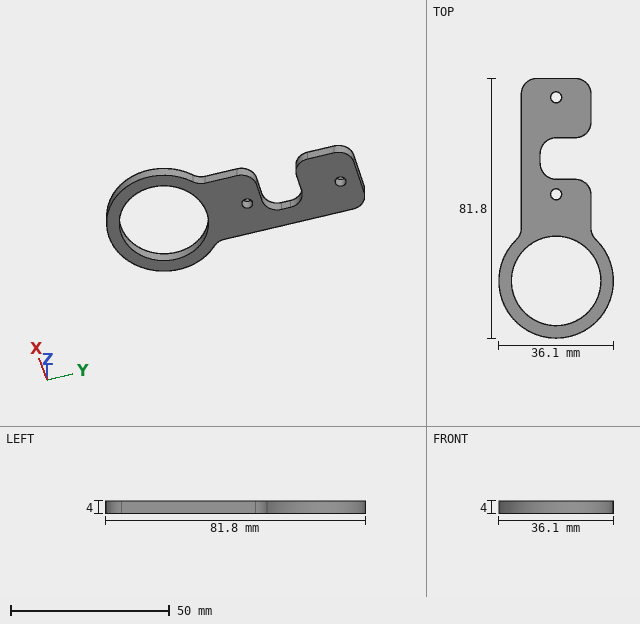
import cadquery as cq

thickness = 4.0
ring_bore = 28.1
ring_wall = 4.0
ring_diameter = ring_bore + 2 * ring_wall

overall_length = 81.8
arm_width = 22.0
arm_end_y = overall_length - ring_diameter / 2
corner_radius = 5.0

notch_floor_x = -5.0
notch_width = 13.0
notch_end_margin = 18.75
notch_far_y = arm_end_y - notch_end_margin
notch_near_y = notch_far_y - notch_width

hole_diameter = 3.4
hole_end_margin = 6.0
hole_spacing = 30.5


def make_arm():
    """Flat arm with a side notch, its vertical edges rounded."""
    half_width = arm_width / 2
    arm = (
        cq.Workplane("XY")
        .moveTo(-half_width, 0)
        .lineTo(half_width, 0)
        .lineTo(half_width, notch_near_y)
        .lineTo(notch_floor_x, notch_near_y)
        .lineTo(notch_floor_x, notch_far_y)
        .lineTo(half_width, notch_far_y)
        .lineTo(half_width, arm_end_y)
        .lineTo(-half_width, arm_end_y)
        .close()
        .extrude(thickness)
    )
    above_ring = cq.selectors.BoxSelector(
        (-arm_width, ring_diameter / 2, -thickness),
        (arm_width, overall_length, 2 * thickness),
    )
    return arm.edges("|Z").edges(above_ring).fillet(corner_radius)


def join_ring(arm):
    """Add the solid disc and round the two inner corners where the arm meets it."""
    disc = cq.Workplane("XY").circle(ring_diameter / 2).extrude(thickness)
    neck = cq.selectors.BoxSelector(
        (-arm_width, 0, -thickness),
        (arm_width, ring_diameter / 2, 2 * thickness),
    )
    return arm.union(disc).edges("|Z").edges(neck).fillet(corner_radius)


def cut_holes(body):
    """Cut the ring bore and both screw holes through the plate."""
    end_hole_y = arm_end_y - hole_end_margin
    hole_centres = [(0, end_hole_y), (0, end_hole_y - hole_spacing)]
    bore = cq.Workplane("XY").circle(ring_bore / 2).extrude(thickness)
    holes = cq.Workplane("XY").pushPoints(hole_centres).circle(hole_diameter / 2).extrude(thickness)
    return body.cut(bore).cut(holes)


result = cut_holes(join_ring(make_arm()))